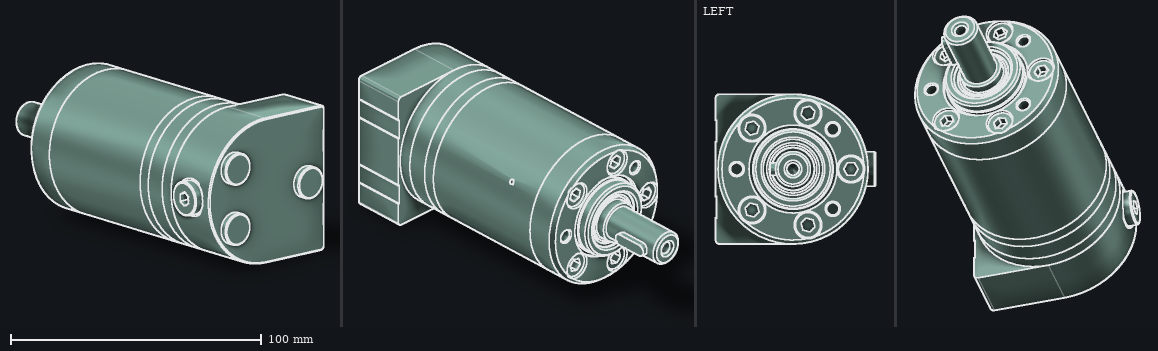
import cadquery as cq
import math


barrel_radius = 30.0
cap_end = 13.0
housing_end = 68.5
plate_end = 73.5
gear_set_end = 82.0
spacer_end = 87.5
cover_end = 110.75
vent_diameter = 2.0
vent_depth = 2.0
vent_x = 27.5
vent_angle = 30.0

cap_chamfer_length = 2.0
cap_chamfer_height = 1.6
pilot_radius = 31.5 / 2
pilot_length = 4.75
pilot_chamfer = 0.9
pilot_root_radius = 16.1
pilot_root_length = 0.4
face_groove_radius = 17.6
face_groove_depth = 1.9
seal_mouth_radius = 12.75
seal_well_radius = 11.9
seal_mouth_depth = 0.9
seal_well_depth = 1.5
seal_groove_outer_radius = 21.1 / 2
seal_groove_inner_radius = 9.6
seal_groove_depth = 0.6
seal_lip_radius = 17.3 / 2
seal_lip_depth = 3.0

screw_circle_radius = 23.15
screw_angles = (0, 75, 135, 225, 285)
counterbore_diameter = 11.0
counterbore_depth = 6.0
screw_head_diameter = 10.0
screw_head_recess = 1.0
screw_socket_flats = 5.0
screw_socket_depth = 4.0
thread_circle_radius = 22.5
thread_angles = (45, 180, 315)
thread_diameter = 6.0
thread_bore_diameter = 4.92
thread_depth = 12.0

shaft_radius = 14.0 / 2
shaft_tip = -35.0
shaft_chamfer = 1.0
journal_radius = 16.93 / 2
journal_start = -7.0
center_hole_depth = 10.0
drill_point_angle = 120.0
key_width = 5.0
key_length = 16.0
key_start = -30.5
key_top = 9.0
key_height = 5.0

block_top = 31.0
block_corner = 1.7
block_notch_width = 8.5
block_notch_depth = 0.4
block_notch_offset = 15.25
cover_rear_chamfer = 0.5

side_plug_diameter = 13.9
plug_edge = 0.45
rear_plug_diameter = 13.0
rear_plug_height = 3.0
rear_plug_circle_radius = 21.2
rear_plug_angles = (-36, 36, 180)
side_plug_x = 99.0
side_plug_tip = -33.0
spotface_diameter = 15.5
spotface_level = -28.9
side_socket_flats = 5.0
side_socket_depth = 4.0


def cylinder_x(start, end, radius, y=0.0, z=0.0):
    return cq.Workplane("YZ", origin=(start, y, z)).circle(radius).extrude(end - start)


def ring_x(start, end, outer_radius, inner_radius):
    return cylinder_x(start, end, outer_radius).cut(cylinder_x(start, end, inner_radius))


def cone_x(start, end, start_radius, end_radius):
    profile = [(start, 0), (start, start_radius), (end, end_radius), (end, 0)]
    return cq.Workplane("XY").polyline(profile).close().revolve(360, (0, 0, 0), (1, 0, 0))


def on_circle(radius, angle):
    """Y and Z of a point on a bolt circle, with the angle counted from -Y towards +Z."""
    turn = math.radians(angle)
    return -radius * math.cos(turn), radius * math.sin(turn)


def hexagon_width(flats):
    """Width of a hexagon across its corners."""
    return flats / math.cos(math.pi / 6)


def cut_counterbored_screw(cap, angle):
    """Cuts a counterbore that leaves the socket head of a screw standing in it."""
    y, z = on_circle(screw_circle_radius, angle)
    pocket = cylinder_x(0, counterbore_depth, counterbore_diameter / 2, y, z)
    head = cylinder_x(screw_head_recess, counterbore_depth, screw_head_diameter / 2, y, z)
    socket = (
        cq.Workplane("YZ", origin=(screw_head_recess, -screw_circle_radius, 0))
        .polygon(6, hexagon_width(screw_socket_flats))
        .extrude(screw_socket_depth)
        .rotate((0, 0, 0), (1, 0, 0), -angle)
    )
    return cap.cut(pocket.cut(head)).cut(socket)


def cut_mounting_thread(cap, angle):
    y, z = on_circle(thread_circle_radius, angle)
    mouth_depth = (thread_diameter - thread_bore_diameter) / 2
    bore = cylinder_x(0, thread_depth, thread_bore_diameter / 2, y, z)
    mouth = cone_x(0, mouth_depth, thread_diameter / 2, thread_bore_diameter / 2)
    return cap.cut(bore).cut(mouth.translate((0, y, z)))


def cut_seal_seat(cap):
    """Opens the pilot for the shaft seal and bores the cap for the shaft."""
    mouth_end = -pilot_length + seal_mouth_depth
    well_end = -pilot_length + seal_well_depth
    lip_end = well_end + seal_lip_depth
    groove_end = well_end + seal_groove_depth
    cap = cap.cut(cone_x(-pilot_length, mouth_end, seal_mouth_radius, seal_well_radius))
    cap = cap.cut(cylinder_x(mouth_end, well_end, seal_well_radius))
    cap = cap.cut(ring_x(well_end, groove_end, seal_groove_outer_radius, seal_groove_inner_radius))
    cap = cap.cut(cylinder_x(well_end, lip_end, seal_lip_radius))
    return cap.cut(cylinder_x(lip_end, cap_end, journal_radius))


def make_front_cap():
    cap_front_radius = barrel_radius - cap_chamfer_height
    cap = cone_x(0, cap_chamfer_length, cap_front_radius, barrel_radius)
    cap = cap.union(cylinder_x(cap_chamfer_length, cap_end, barrel_radius))
    cap = cap.cut(ring_x(0, face_groove_depth, face_groove_radius, pilot_root_radius))
    pilot = cylinder_x(-pilot_length, 0, pilot_radius).faces("<X").chamfer(pilot_chamfer)
    root = cone_x(-pilot_root_length, 0, pilot_radius, pilot_root_radius)
    cap = cap.union(pilot).union(root)
    cap = cut_seal_seat(cap)
    for angle in screw_angles:
        cap = cut_counterbored_screw(cap, angle)
    for angle in thread_angles:
        cap = cut_mounting_thread(cap, angle)
    return cap


def make_shaft():
    shaft = cylinder_x(shaft_tip, journal_start, shaft_radius).faces("<X").chamfer(shaft_chamfer)
    shaft = shaft.union(cylinder_x(journal_start, cap_end, journal_radius))
    key = (
        cq.Workplane("XZ", origin=(key_start + key_length / 2, key_top, 0))
        .slot2D(key_length, key_width)
        .extrude(key_height)
    )
    shaft = shaft.union(key)
    bore_radius = thread_bore_diameter / 2
    mouth_radius = shaft_radius / 2
    mouth_end = shaft_tip + mouth_radius - bore_radius
    bore_end = shaft_tip + center_hole_depth
    point_length = bore_radius / math.tan(math.radians(drill_point_angle / 2))
    profile = [
        (shaft_tip, 0),
        (shaft_tip, mouth_radius),
        (mouth_end, bore_radius),
        (bore_end, bore_radius),
        (bore_end + point_length, 0),
    ]
    hole = cq.Workplane("XY").polyline(profile).close().revolve(360, (0, 0, 0), (1, 0, 0))
    return shaft.cut(hole)


def make_housing():
    vent = (
        cq.Workplane("XZ", origin=(vent_x, barrel_radius, 0))
        .circle(vent_diameter / 2)
        .extrude(vent_depth)
        .rotate((0, 0, 0), (1, 0, 0), vent_angle)
    )
    return cylinder_x(cap_end, housing_end, barrel_radius).cut(vent)


def make_plug(diameter, height):
    """A round plug standing on the XY plane, with a chamfered outer edge."""
    return cq.Workplane("XY").circle(diameter / 2).extrude(height).faces(">Z").chamfer(plug_edge)


def add_side_plug(cover):
    """Seats the side plug in a spotface on the -Y side."""
    spotface = (
        cq.Workplane("XZ", origin=(side_plug_x, spotface_level, 0))
        .circle(spotface_diameter / 2)
        .extrude(barrel_radius)
    )
    plug = (
        make_plug(side_plug_diameter, spotface_level - side_plug_tip)
        .rotate((0, 0, 0), (1, 0, 0), 90)
        .translate((side_plug_x, spotface_level, 0))
    )
    socket = (
        cq.Workplane("XZ", origin=(side_plug_x, side_plug_tip + side_socket_depth, 0))
        .transformed(rotate=(0, 0, 30))
        .polygon(6, hexagon_width(side_socket_flats))
        .extrude(side_socket_depth)
    )
    return cover.cut(spotface).union(plug).cut(socket)


def make_end_cover():
    length = cover_end - spacer_end
    cover = (
        cq.Workplane("YZ", origin=(spacer_end, 0, 0))
        .moveTo(0, barrel_radius)
        .threePointArc((-barrel_radius, 0), (0, -barrel_radius))
        .lineTo(block_top, -barrel_radius)
        .lineTo(block_top, barrel_radius)
        .close()
        .extrude(length)
    )
    cover = cover.edges("|X and >Y").fillet(block_corner)
    cover = cover.faces(">X").chamfer(cover_rear_chamfer)
    for side in (-1, 1):
        notch = cq.Workplane("XY").box(length, 2 * block_notch_depth, block_notch_width)
        cover = cover.cut(notch.translate((spacer_end + length / 2, block_top, side * block_notch_offset)))
    for angle in rear_plug_angles:
        y, z = on_circle(rear_plug_circle_radius, angle)
        plug = make_plug(rear_plug_diameter, rear_plug_height).rotate((0, 0, 0), (0, 1, 0), 90)
        cover = cover.union(plug.translate((cover_end, y, z)))
    return add_side_plug(cover)


front_cap = make_front_cap()
shaft = make_shaft()
housing = make_housing()
plate = cylinder_x(housing_end, plate_end, barrel_radius)
gear_set = cylinder_x(plate_end, gear_set_end, barrel_radius)
spacer = cylinder_x(gear_set_end, spacer_end, barrel_radius)
end_cover = make_end_cover()

result = cq.Compound.makeCompound(
    [
        front_cap.val(),
        shaft.val(),
        housing.val(),
        plate.val(),
        gear_set.val(),
        spacer.val(),
        end_cover.val(),
    ]
)